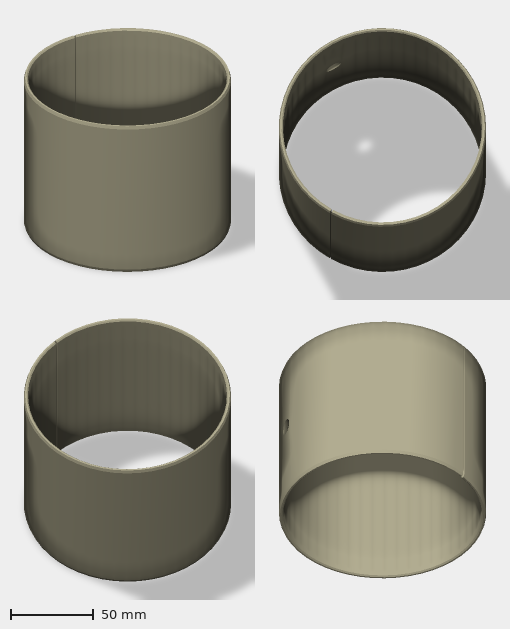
import cadquery as cq
import math

outer_diameter = 125.0
length = 100.0
wall = 2.5
outer_radius = outer_diameter / 2
inner_radius = outer_radius - wall

outer_chamfer_length = 1.9
outer_chamfer_angle = 20.0
outer_chamfer_depth = outer_chamfer_length * math.tan(math.radians(outer_chamfer_angle))
inner_chamfer = 0.8

joint_start_angle = 180.0
joint_gap_angle = 1.0

oil_hole_diameter = 10.0
oil_hole_height = length / 2
oil_hole_angle = 60.0 - joint_gap_angle


def sleeve():
    """Revolve the chamfered wall section about Z, leaving the joint open."""
    section = [
        (inner_radius + inner_chamfer, 0),
        (outer_radius - outer_chamfer_depth, 0),
        (outer_radius, outer_chamfer_length),
        (outer_radius, length - outer_chamfer_length),
        (outer_radius - outer_chamfer_depth, length),
        (inner_radius + inner_chamfer, length),
        (inner_radius, length - inner_chamfer),
        (inner_radius, inner_chamfer),
    ]
    profile = cq.Workplane("XZ").polyline(section).close()
    ring = profile.revolve(360 - joint_gap_angle, (0, 0), (0, 1))
    return ring.rotate((0, 0, 0), (0, 0, 1), joint_start_angle)


def oil_hole_cutter():
    """Cylinder from the axis out through one side of the wall."""
    drill = cq.Workplane("YZ").center(0, oil_hole_height)
    drill = drill.circle(oil_hole_diameter / 2).extrude(outer_diameter)
    return drill.rotate((0, 0, 0), (0, 0, 1), oil_hole_angle)


result = sleeve().cut(oil_hole_cutter())